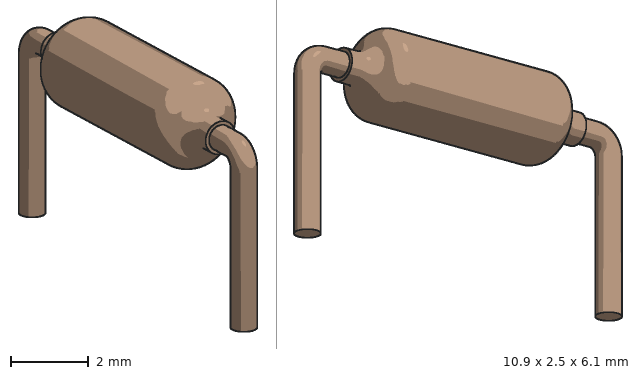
import cadquery as cq
import math

overall_length = 10.85
body_diameter = 2.5
barrel_length = 5.14
shoulder_radius = 0.5
collar_diameter = 0.9
collar_length = 0.4
lead_diameter = 0.69
bend_radius = 0.5
lead_drop = 4.85

body_radius = body_diameter / 2
collar_radius = collar_diameter / 2
lead_radius = lead_diameter / 2
lead_x = overall_length / 2 - lead_radius

arc_rise = (body_radius - collar_radius) / 2
arc_angle = math.acos(1 - arc_rise / shoulder_radius)
arc_run = shoulder_radius * math.sin(arc_angle)
barrel_end = barrel_length / 2
shoulder_middle = barrel_end + arc_run
shoulder_end = shoulder_middle + arc_run
collar_end = shoulder_end + collar_length


def arc_midpoint(center_x, center_radius, side):
    """Middle point of a shoulder arc; side is +1 for the convex arc, -1 for the concave one."""
    half_angle = arc_angle / 2
    x = center_x + side * shoulder_radius * math.sin(half_angle)
    radius = center_radius + side * shoulder_radius * math.cos(half_angle)
    return x, radius


def mirrored(point):
    """The matching profile point at the -X end."""
    x, radius = point
    return -x, radius


def make_body():
    """Barrel with rounded shoulders and a collar at each end, revolved about X."""
    convex_mid = arc_midpoint(barrel_end, body_radius - shoulder_radius, 1)
    concave_mid = arc_midpoint(shoulder_end, collar_radius + shoulder_radius, -1)
    shoulder_joint = (shoulder_middle, body_radius - arc_rise)
    return (
        cq.Workplane("XY")
        .moveTo(-collar_end, 0)
        .lineTo(-collar_end, collar_radius)
        .lineTo(-shoulder_end, collar_radius)
        .threePointArc(mirrored(concave_mid), mirrored(shoulder_joint))
        .threePointArc(mirrored(convex_mid), (-barrel_end, body_radius))
        .lineTo(barrel_end, body_radius)
        .threePointArc(convex_mid, shoulder_joint)
        .threePointArc(concave_mid, (shoulder_end, collar_radius))
        .lineTo(collar_end, collar_radius)
        .lineTo(collar_end, 0)
        .close()
        .revolve(360, (0, 0, 0), (1, 0, 0))
    )


def make_lead(side):
    """Round wire from the collar face outward, then bent down; side is -1 or +1 along X."""
    mid_offset = bend_radius * (1 - math.sqrt(0.5))
    path = (
        cq.Workplane("XZ")
        .moveTo(side * collar_end, 0)
        .lineTo(side * (lead_x - bend_radius), 0)
        .threePointArc((side * (lead_x - mid_offset), -mid_offset), (side * lead_x, -bend_radius))
        .lineTo(side * lead_x, -lead_drop)
    )
    return (
        cq.Workplane("YZ", origin=(side * collar_end, 0, 0))
        .circle(lead_radius)
        .sweep(path)
    )


body = make_body()
leads = [make_lead(side) for side in (-1, 1)]

result = cq.Compound.makeCompound([body.val(), *[lead.val() for lead in leads]])